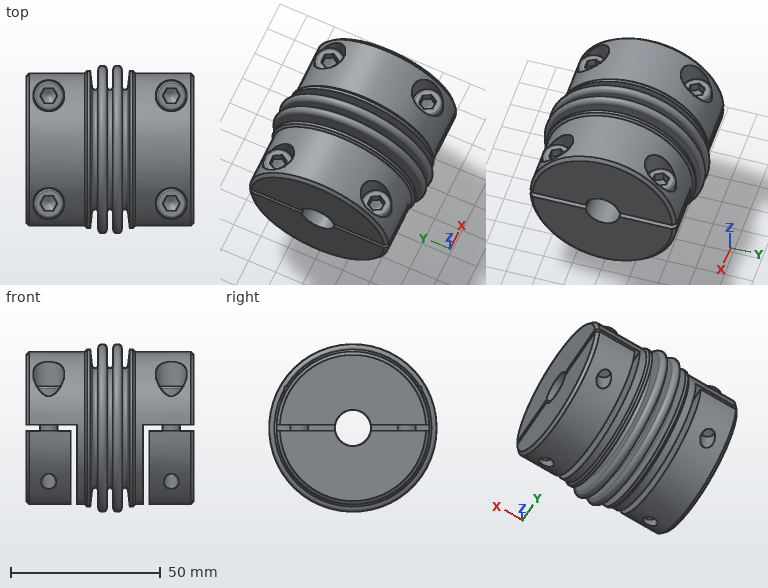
import cadquery as cq
import math

diagonal = math.sqrt(0.5)

half_length = 28.0
bellows_radius = 28.0
bore_diameter = 12.0

hub_radius = 51.0 / 2
hub_end_chamfer = 1.1

collar_radius = 52.5 / 2
collar_outer_end = 8.35
collar_inner_end = 6.55
collar_bevel = collar_radius - hub_radius

crest_pitch = 5.0
crest_radius = 1.5
root_radius = crest_pitch / 2 - crest_radius
root_floor_radius = 20.0
crest_center_r = bellows_radius - crest_radius
root_center_r = root_floor_radius + root_radius

slit_width = 2.0
cross_slit_center_x = 12.05

screw_x = 20.45
screw_y = 18.0
shank_diameter = 6.0
head_diameter = 10.0
head_height = shank_diameter
head_top_z = 13.95
head_seat_z = head_top_z - head_height
head_rounding = 0.7
counterbore_diameter = 10.5
thread_hole_diameter = 5.0
screw_end_z = -11.2

hex_across_flats = 5.0
hex_across_corners = hex_across_flats / math.cos(math.radians(30))
hex_wall_depth = 3.0
hex_tip_depth = hex_across_corners / 2 * math.tan(math.radians(30))


def make_body():
    """Revolve bellows, collars and hubs around the bore, outlined from -X to +X."""
    hub_outline = [
        (collar_inner_end, collar_radius),
        (collar_outer_end - collar_bevel, collar_radius),
        (collar_outer_end, hub_radius),
        (half_length - hub_end_chamfer, hub_radius),
        (half_length, hub_radius - hub_end_chamfer),
        (half_length, bore_diameter / 2),
    ]
    mirrored_outline = [(-x, r) for x, r in reversed(hub_outline)]

    profile = cq.Workplane("XY").polyline(mirrored_outline)
    for root_x in (-crest_pitch, 0, crest_pitch):
        root_end_x = root_x + root_radius
        profile = profile.lineTo(root_x - root_radius, root_center_r)
        profile = profile.threePointArc((root_x, root_floor_radius), (root_end_x, root_center_r))
        if root_x < crest_pitch:
            crest_x = root_x + crest_pitch / 2
            profile = profile.lineTo(root_end_x, crest_center_r)
            profile = profile.threePointArc(
                (crest_x, bellows_radius),
                (crest_x + crest_radius, crest_center_r),
            )
    profile = profile.polyline(hub_outline, includeCurrent=True).close()
    return profile.revolve(360, (0, 0, 0), (1, 0, 0))


def make_slits(side):
    """Gap that frees the lower half of one hub as a clamp; side is the sign of X."""
    inner_x = cross_slit_center_x - slit_width / 2
    across = 2 * bellows_radius
    split_length = half_length - inner_x
    split = cq.Workplane("XY").box(split_length, across, slit_width)
    split = split.translate((side * (inner_x + split_length / 2), 0, 0))
    cross_slit = (
        cq.Workplane("XY", origin=(side * cross_slit_center_x, 0, slit_width / 2))
        .rect(slit_width, across)
        .extrude(-bellows_radius)
    )
    return split.union(cross_slit)


def make_screw_cut(x, y):
    """Counterbore from above and thread hole from below."""
    counterbore = (
        cq.Workplane("XY", origin=(x, y, head_seat_z))
        .circle(counterbore_diameter / 2)
        .extrude(bellows_radius)
    )
    thread_hole = (
        cq.Workplane("XY", origin=(x, y, 0))
        .circle(thread_hole_diameter / 2)
        .extrude(-bellows_radius)
    )
    return counterbore.union(thread_hole)


def make_hex_socket():
    """Hexagonal recess with a conical floor, its mouth at the top of the head."""
    hexagon = (
        cq.Workplane("XY", origin=(0, 0, head_top_z))
        .polygon(6, hex_across_corners)
        .extrude(-head_height)
    )
    pointed_cylinder = (
        cq.Workplane("XZ")
        .moveTo(0, head_top_z)
        .lineTo(hex_across_corners, head_top_z)
        .lineTo(hex_across_corners, head_top_z - hex_wall_depth + hex_tip_depth)
        .lineTo(0, head_top_z - hex_wall_depth - hex_tip_depth)
        .close()
        .revolve(360, (0, 0, 0), (0, 1, 0))
    )
    return hexagon.intersect(pointed_cylinder)


def make_screw(x, y):
    """Socket head screw that ties the clamp to the hub."""
    head_radius = head_diameter / 2
    shank_radius = shank_diameter / 2
    rounding_center_x = head_radius - head_rounding
    rounding_center_z = head_top_z - head_rounding
    screw = (
        cq.Workplane("XZ")
        .moveTo(0, screw_end_z)
        .lineTo(shank_radius, screw_end_z)
        .lineTo(shank_radius, head_seat_z)
        .lineTo(head_radius, head_seat_z)
        .lineTo(head_radius, head_top_z - head_rounding)
        .threePointArc(
            (rounding_center_x + head_rounding * diagonal, rounding_center_z + head_rounding * diagonal),
            (rounding_center_x, head_top_z),
        )
        .lineTo(0, head_top_z)
        .close()
        .revolve(360, (0, 0, 0), (0, 1, 0))
    )
    return screw.cut(make_hex_socket()).translate((x, y, 0))


result = make_body()
for side in (-1, 1):
    result = result.cut(make_slits(side))
    for y in (-screw_y, screw_y):
        result = result.cut(make_screw_cut(side * screw_x, y))
        result = result.union(make_screw(side * screw_x, y))